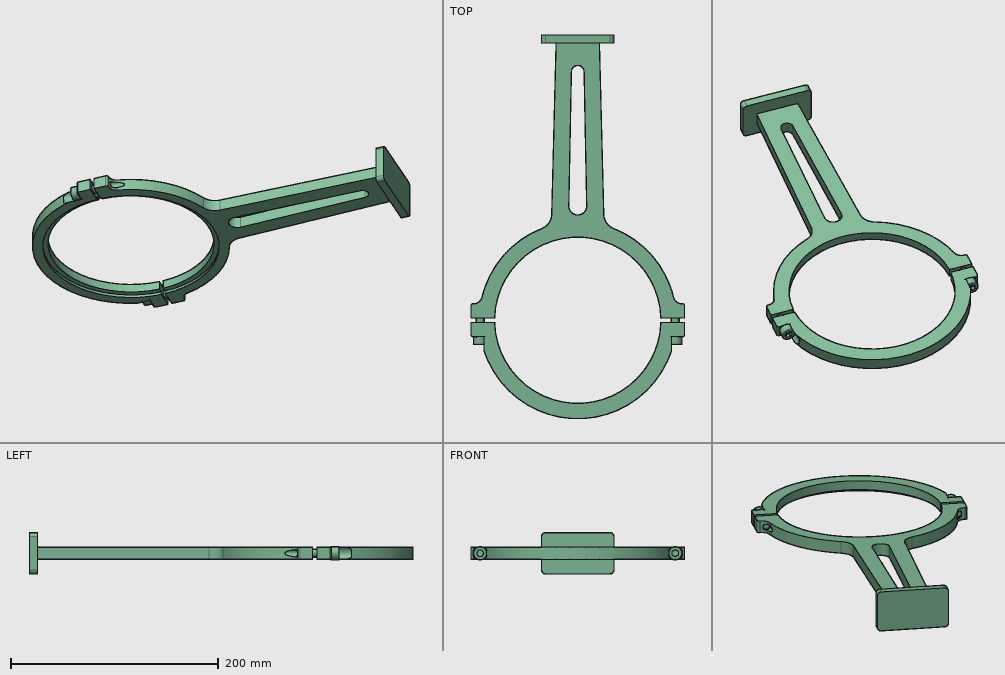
import cadquery as cq
import math

thickness = 12.0
ring_inner_radius = 80.0
ring_outer_radius = 95.0
split_gap = 4.0

rebate_radius = 85.0
rebate_height = 3.0

lug_half_span = 102.975
lug_height = 16.0
lug_corner_radius = 2.0
lug_root_radius = 8.0

arm_root_y = 100.0
arm_root_width = 50.5
arm_tip_width = 42.0
arm_root_fillet = 15.0

slot_bottom_y = 101.5
slot_top_y = 245.5
slot_bottom_radius = 8.5
slot_top_radius = 6.0

plate_width = 70.0
plate_height = 40.0
plate_thickness = 8.0
plate_corner_radius = 4.0
plate_back_y = 275.0
plate_front_y = plate_back_y - plate_thickness

bolt_x = 94.0
bolt_diameter = 8.0
bolt_length = 30.0
head_diameter = 13.0
head_height = 8.0
head_edge_radius = 0.7
socket_flats = 6.0
socket_depth = 4.0
seat_y = -15.5
bolt_tip_y = seat_y + bolt_length
counterbore_diameter = 14.0
counterbore_length = 20.0
counterbore_end_y = seat_y - counterbore_length

pilot_diameter = 6.8
pilot_end_y = 40.0

sides = (-1, 1)


def plate_on_z(sketch):
    """Extrude an XY outline through the clamp thickness, centred on Z = 0."""
    return sketch.extrude(thickness / 2, both=True)


def cylinder_along_y(x, start_y, end_y, diameter):
    """Solid round bar parallel to Y."""
    bar = cq.Workplane("XZ", origin=(x, start_y, 0)).circle(diameter / 2)
    return bar.extrude(start_y - end_y)


def edges_at(body, x, y):
    """Edges parallel to Z that pass within a small tolerance of (x, y)."""
    tolerance = 0.05
    low = (x - tolerance, y - tolerance, -thickness)
    high = (x + tolerance, y + tolerance, thickness)
    return body.edges("|Z").edges(cq.selectors.BoxSelector(low, high))


def round_edges(body, x, y, radius):
    """Fillet the mirrored pair of upright edges at (-x, y) and (x, y)."""
    for side in sides:
        body = edges_at(body, side * x, y).fillet(radius)
    return body


def half_ring(direction):
    """Half of the ring with two lugs, on the +Y (1) or -Y (-1) side of the split."""
    ring = plate_on_z(cq.Workplane("XY").circle(ring_outer_radius))
    lugs = plate_on_z(cq.Workplane("XY").rect(2 * lug_half_span, 2 * lug_height))
    body = ring.union(lugs)
    reach = 2 * lug_half_span
    kept = cq.Workplane("XY").center(0, direction * (split_gap + reach) / 2).rect(reach, reach)
    body = body.intersect(plate_on_z(kept))
    body = body.cut(plate_on_z(cq.Workplane("XY").circle(ring_inner_radius)))
    rebate = cq.Workplane("XY", origin=(0, 0, -thickness / 2)).circle(rebate_radius)
    body = body.cut(rebate.extrude(rebate_height))
    lug_y = direction * lug_height
    root_x = math.sqrt(ring_outer_radius**2 - lug_height**2)
    body = round_edges(body, root_x, lug_y, lug_root_radius)
    return round_edges(body, lug_half_span, lug_y, lug_corner_radius)


def arm_half_width(y):
    """Half width of the arm, which tapers linearly along Y."""
    fraction = (y - arm_root_y) / (plate_front_y - arm_root_y)
    return (arm_root_width + fraction * (arm_tip_width - arm_root_width)) / 2


def arm_foot_y():
    """Y where the tapered side of the arm meets the outside of the ring."""
    slope = (arm_tip_width - arm_root_width) / 2 / (plate_front_y - arm_root_y)
    offset = arm_half_width(0)
    a = 1 + slope**2
    b = 2 * slope * offset
    c = offset**2 - ring_outer_radius**2
    return (-b + math.sqrt(b**2 - 4 * a * c)) / (2 * a)


def trapezoid(bottom_y, top_y, bottom_half, top_half):
    """Prism with a symmetric tapered outline through the clamp thickness."""
    outline = cq.Workplane("XY").polyline([
        (-bottom_half, bottom_y),
        (bottom_half, bottom_y),
        (top_half, top_y),
        (-top_half, top_y),
    ])
    return plate_on_z(outline.close())


def arm_slot():
    """Slot with full round ends joined by straight sides tangent to both."""
    bottom_centre_y = slot_bottom_y + slot_bottom_radius
    top_centre_y = slot_top_y - slot_top_radius
    lean_sin = (slot_bottom_radius - slot_top_radius) / (top_centre_y - bottom_centre_y)
    lean_cos = math.sqrt(1 - lean_sin**2)
    bottom_x = slot_bottom_radius * lean_cos
    bottom_y = bottom_centre_y + slot_bottom_radius * lean_sin
    top_x = slot_top_radius * lean_cos
    top_y = top_centre_y + slot_top_radius * lean_sin
    outline = cq.Workplane("XY").moveTo(bottom_x, bottom_y).lineTo(top_x, top_y)
    outline = outline.threePointArc((0, slot_top_y), (-top_x, top_y)).lineTo(-bottom_x, bottom_y)
    outline = outline.threePointArc((0, slot_bottom_y), (bottom_x, bottom_y))
    return plate_on_z(outline.close())


def make_arm_clamp():
    """+Y half ring with the slotted arm and the tapped bolt holes."""
    arm_start_y = (ring_inner_radius + ring_outer_radius) / 2
    arm = trapezoid(
        arm_start_y, plate_front_y, arm_half_width(arm_start_y), arm_half_width(plate_front_y)
    )
    body = half_ring(1).union(arm)
    foot_y = arm_foot_y()
    body = round_edges(body, arm_half_width(foot_y), foot_y, arm_root_fillet)
    body = body.cut(arm_slot())
    for side in sides:
        body = body.cut(cylinder_along_y(side * bolt_x, 0, bolt_tip_y, bolt_diameter))
        body = body.cut(cylinder_along_y(side * bolt_x, 0, pilot_end_y, pilot_diameter))
    return body


def make_lower_clamp():
    """-Y half ring with bolt holes and counterbores for the heads."""
    body = half_ring(-1)
    for side in sides:
        body = body.cut(cylinder_along_y(side * bolt_x, 0, seat_y, bolt_diameter))
        body = body.cut(
            cylinder_along_y(side * bolt_x, seat_y, counterbore_end_y, counterbore_diameter)
        )
    return body


def make_end_plate():
    """Upright rounded plate at the tip of the arm."""
    plate = cq.Workplane("XZ", origin=(0, plate_back_y, 0)).rect(plate_width, plate_height)
    return plate.extrude(plate_thickness).edges("|Y").fillet(plate_corner_radius)


def make_bolt(side):
    """Hex socket bolt; the sockets of the two bolts sit a twelfth of a turn apart."""
    head_end_y = seat_y - head_height
    head = cylinder_along_y(side * bolt_x, seat_y, head_end_y, head_diameter)
    head = head.faces("<Y").edges().fillet(head_edge_radius)
    socket_corners = socket_flats / math.cos(math.radians(30))
    socket = cq.Workplane("XZ", origin=(side * bolt_x, head_end_y, 0))
    socket = socket.transformed(rotate=(0, 0, 0 if side < 0 else 30))
    socket = socket.polygon(6, socket_corners).extrude(-socket_depth)
    shank = cylinder_along_y(side * bolt_x, seat_y, bolt_tip_y, bolt_diameter)
    return head.cut(socket).union(shank)


arm_clamp = make_arm_clamp()
lower_clamp = make_lower_clamp()
end_plate = make_end_plate()
bolts = [make_bolt(side) for side in sides]

result = cq.Compound.makeCompound([
    arm_clamp.val(),
    lower_clamp.val(),
    end_plate.val(),
    *[bolt.val() for bolt in bolts],
])